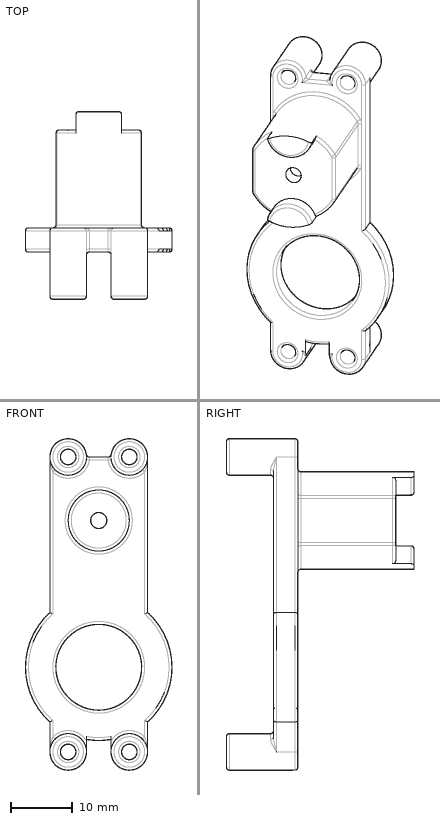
import cadquery as cq
import math

plate_thickness = 4.0
plate_front = -plate_thickness
plate_width = 16.0
edge_round = 0.5

ring_radius = 12.0
ring_hole_radius = 7.0

post_radius = 3.0
post_hole_radius = 1.25
post_front = -11.7
post_x = plate_width / 2 - post_radius
post_top_z = 34.4
post_spacing_z = 48.25
post_bottom_z = post_top_z - post_spacing_z
leg_gap_half = post_x - post_radius
post_centres = [(x, z) for z in (post_bottom_z, post_top_z) for x in (-post_x, post_x)]

hub_z = 24.0
hub_radius = 8.0
hub_flat_x = 7.0
hub_length = 16.0
hub_corner_round = 1.0
hub_foot_round = 0.49
hub_bore_radius = 5.0
hub_floor = 3.0
hub_screw_radius = 1.3

key_circle_radius = 3.87
key_height = 3.0

TOLERANCE = 0.001


def rod(radius, x, z, y_start, y_end):
    """Round bar along Y between two Y positions, with its seam line facing -Z."""
    bar = cq.Solid.makeCylinder(radius, y_end - y_start, cq.Vector(0, y_start, 0), cq.Vector(0, 1, 0))
    half_turn = 180
    return cq.Workplane(bar).rotate((0, 0, 0), (0, 1, 0), half_turn).translate((x, 0, z))


def block(x_half, y_start, y_end, z_min, z_max):
    """Box centred on X = 0, given by its limits along Y and Z."""
    size = (2 * x_half, y_end - y_start, z_max - z_min)
    return cq.Workplane().box(*size, centered=(True, False, False)).translate((0, y_start, z_min))


def edges_on_plane(body, y):
    """Edges lying wholly in the plane at the given Y."""
    limits = [(edge, edge.BoundingBox()) for edge in body.edges().vals()]
    return [edge for edge, box in limits if abs(box.ymin - y) < TOLERANCE and abs(box.ymax - y) < TOLERANCE]


def make_plate():
    """Ring and arm, ending in half circles at the posts, with rounded front and back edges."""
    plate = rod(ring_radius, 0, 0, plate_front, 0)
    plate = plate.union(block(plate_width / 2, plate_front, 0, post_bottom_z, post_top_z))
    for x, z in post_centres:
        plate = plate.union(rod(post_radius, x, z, plate_front, 0))
    plate = plate.cut(rod(ring_hole_radius, 0, 0, plate_front, 0)).clean()
    return plate.faces("<Y or >Y").edges().fillet(edge_round)


def make_post(x, z):
    """Post with rounded ends."""
    post = rod(post_radius, x, z, post_front, 0)
    return post.faces("<Y or >Y").edges().fillet(edge_round)


def make_hub():
    """Flatted cylinder with its corners and its free end rounded."""
    hub = rod(hub_radius, 0, hub_z, -edge_round, hub_length)
    flats = block(hub_flat_x, -edge_round, hub_length, hub_z - hub_radius, hub_z + hub_radius)
    hub = hub.intersect(flats)
    hub = hub.edges("|Y").edges("<X or >X").fillet(hub_corner_round)
    return hub.faces(">Y").edges().fillet(edge_round)


def make_key(side):
    """Overlap of the hub cylinder with a circle centred on its rim; the inner end edge is rounded."""
    key_end = hub_length + key_height
    key_start = hub_length - 2 * edge_round
    inner = rod(key_circle_radius, 0, hub_z + side * hub_radius, key_start, key_end)
    inner = inner.faces(">Y").edges().fillet(edge_round)
    return inner.intersect(rod(hub_radius, 0, hub_z, key_start, key_end))


def round_post_feet(body):
    """Fillet each post into the front face of the plate."""
    def is_foot(edge):
        return edge.geomType() == "CIRCLE" and abs(edge.radius() - post_radius) < TOLERANCE

    feet = [edge for edge in edges_on_plane(body, plate_front) if is_foot(edge)]
    return body.newObject(feet).fillet(edge_round)


def round_hub_foot(body):
    """Fillet the hub into the back face of the plate."""
    def is_foot(edge):
        box = edge.BoundingBox()
        return max(hub_z - box.zmin, box.zmax - hub_z) < hub_radius + TOLERANCE

    foot = [edge for edge in edges_on_plane(body, 0) if is_foot(edge)]
    return body.newObject(foot).fillet(hub_foot_round)


def cut_leg_gap(body):
    """Open the gap between the lower posts up to the ring, and round the ring's edges there."""
    gap = block(leg_gap_half, plate_front - edge_round, 0, post_bottom_z - post_radius, 0)
    body = body.cut(gap.cut(rod(ring_radius, 0, 0, plate_front - edge_round, 0)))

    def is_rim(edge):
        return edge.geomType() == "CIRCLE" and abs(edge.radius() - ring_radius) < TOLERANCE

    rim = [edge for y in (plate_front, 0) for edge in edges_on_plane(body, y) if is_rim(edge)]
    return body.newObject(rim).fillet(edge_round)


def rounded_hole(radius, x, z, y_start, y_end, open_ends):
    """Cutter for a hole whose mouths at the given Y positions flare out by a round."""
    cutter = rod(radius, x, z, y_start, y_end)
    for y in open_ends:
        inward = 1 if y == y_start else -1
        depth_y = y + inward * edge_round
        mouth_x = radius + edge_round
        bulge = edge_round * (1 - math.sqrt(0.5))
        flare = (
            cq.Workplane()
            .moveTo(0, y)
            .lineTo(mouth_x, y)
            .threePointArc((radius + bulge, y + inward * bulge), (radius, depth_y))
            .lineTo(0, depth_y)
            .close()
            .revolve(360, (0, 0, 0), (0, 1, 0))
            .translate((x, 0, z))
        )
        cutter = cutter.union(flare)
    return cutter


def hub_bore():
    """Blind bore cutter with a rounded bottom and a flared mouth."""
    bottom = hub_length - hub_floor
    bore = rounded_hole(hub_bore_radius, 0, hub_z, plate_front, bottom, [plate_front])
    return bore.faces(">Y").edges().fillet(edge_round)


result = make_plate()
for x, z in post_centres:
    result = result.union(make_post(x, z))
result = result.union(make_hub()).clean()
result = round_post_feet(result)
result = round_hub_foot(result)
result = cut_leg_gap(result)
for side in (-1, 1):
    result = result.union(make_key(side))
for x, z in post_centres:
    result = result.cut(rounded_hole(post_hole_radius, x, z, post_front, 0, [post_front, 0]))
result = result.cut(hub_bore())
result = result.cut(rod(hub_screw_radius, 0, hub_z, 0, hub_length))